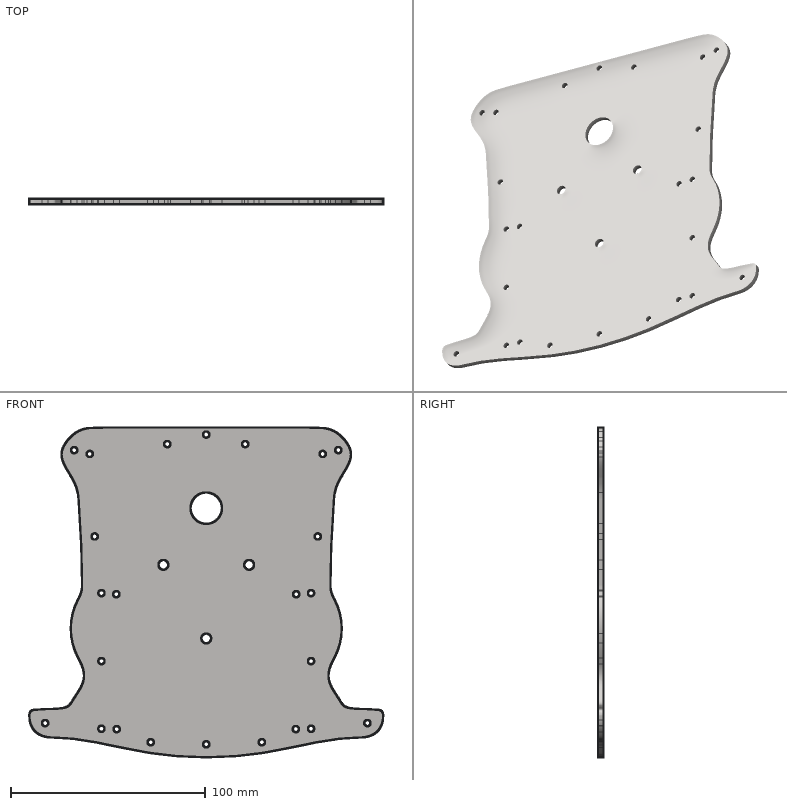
import cadquery as cq

width = 182.5
height = 170.0
thickness = 3.0
half_width = width / 2

top_edge_end = (52.5, height)
shoulder_upper = (66.8, 167.6)
shoulder_tip = (74.5, 157.8)
shoulder_base = (69.3, 144.1)
waist_top = (65.9, 133.2)
waist_bottom = (64.0, 88.5)
lobe_top = (66.2, 81.2)
lobe_tip = (69.9, 66.4)
lobe_bottom = (66.2, 51.6)
cove_side = (63.3, 39.8)
cove_middle = (68.8, 29.5)
cove_bottom = (82.5, 25.0)
foot_corner_size = 3.1
foot_top = 24.6
foot_corner_start = (half_width - foot_corner_size, foot_top)
foot_corner_end = (half_width, foot_top - foot_corner_size)
foot_side = (88.5, 13.7)
foot_bottom = (79.2, 10.2)
bottom_bend = (64.0, 9.0)
bottom_arc_end = (45.0, 5.3)
bottom_center = (0, 0)

small_diameter = 3.1
medium_diameter = 5.0
large_diameter = 16.0
paired_small_holes = [
    (20.0, 161.5),
    (68.0, 158.3),
    (60.0, 156.3),
    (57.5, 113.8),
    (54.0, 84.6),
    (46.3, 84.1),
    (54.0, 49.6),
    (83.0, 17.7),
    (54.0, 14.8),
    (46.2, 14.6),
    (28.6, 7.8),
]
center_small_holes = [(0, 166.4), (0, 6.7)]
medium_holes = [(-22.0, 99.2), (22.0, 99.2), (0, 61.3)]
large_hole = (0, 128.5)

right = (1, 0)
left = (-1, 0)
down = (0, -1)
shoulder_slope = (-0.6, -1)
lobe_slope = (0.55, -1)
lobe_return_slope = (-0.55, -1)
waist_top_slope = (-0.07, -1)
bottom_slope = (-1, -0.22)


def curve(sketch, points, start_direction, end_direction):
    """Continue the outline smoothly through the points."""
    return sketch.spline(points, tangents=[start_direction, end_direction], includeCurrent=True)


def right_half():
    """Right half of the plate, from the symmetry axis outwards."""
    outline = cq.Workplane("XZ").lineTo(0, height).lineTo(*top_edge_end)
    outline = curve(outline, [shoulder_upper, shoulder_tip, shoulder_base], right, shoulder_slope)
    outline = curve(outline, [waist_top], shoulder_slope, waist_top_slope)
    outline = curve(outline, [waist_bottom], waist_top_slope, down)
    outline = curve(outline, [lobe_top], down, lobe_slope)
    outline = outline.threePointArc(lobe_tip, lobe_bottom)
    outline = curve(outline, [cove_side, cove_middle, cove_bottom], lobe_return_slope, right)
    outline = outline.lineTo(*foot_corner_start)
    outline = curve(outline, [foot_corner_end], right, down)
    outline = curve(outline, [foot_side, foot_bottom], down, left)
    outline = curve(outline, [bottom_bend, bottom_arc_end], left, bottom_slope)
    outline = curve(outline, [bottom_center], bottom_slope, left)
    return outline.close().extrude(-thickness)


def drill(plate, centers, diameter):
    """Cut through holes at the given centers."""
    cutters = cq.Workplane("XZ").pushPoints(centers).circle(diameter / 2).extrude(-thickness)
    return plate.cut(cutters)


half = right_half()
plate = half.union(half.mirror("YZ")).clean()

small_holes = center_small_holes + [(side * x, z) for x, z in paired_small_holes for side in (-1, 1)]
plate = drill(plate, small_holes, small_diameter)
plate = drill(plate, medium_holes, medium_diameter)
result = drill(plate, [large_hole], large_diameter)